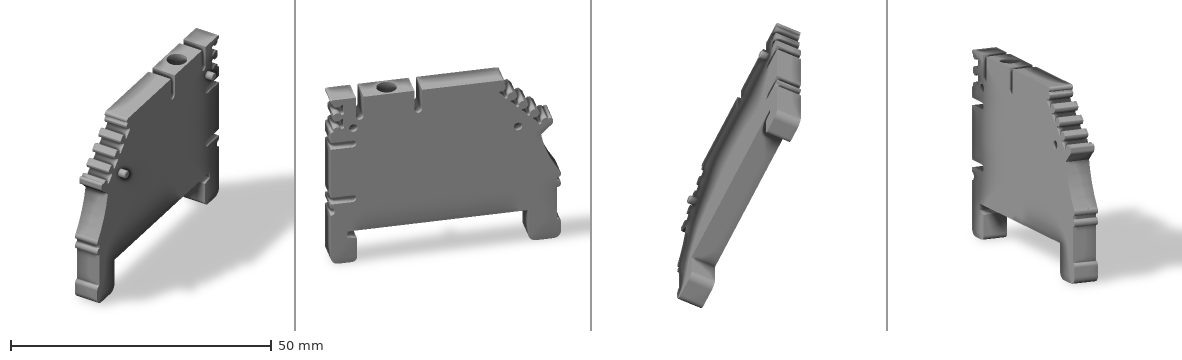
import cadquery as cq
import math

LENGTH = 45.4
HEIGHT = 36.7
TOTAL_WIDTH = 6.6
THICKNESS = 5.0

RAIL_Z = 6.95
FRONT_FOOT_Y = 6.45
FRONT_FOOT_TOP_Z = 4.2
REAR_FOOT_Y = 40.22
HOOK_Y = 42.1
HOOK_Z = 5.65
HOOK_LIP_Z = 5.18
FOOT_ROUND = 1.5
REAR_FOOT_INNER_ROUND = 1.0

BEAD_RADIUS = 0.75
BEADS_Z = (12.08, 14.25)
HOLLOW_BOTTOM = (0.25, 14.85)
HOLLOW_TOP = (3.95, 23.5)
HOLLOW_SAG = 0.5
NOSE_Y = 1.65
NOSE_UNDER = (2.65, 24.85)
NOSE_LOW_Z = 25.6
NOSE_LIP_RADIUS = 0.4
NOSE_LIP_Z = 26.6
NOSE_LOW_ROUND = 0.7

TOOTH_PITCH = 3.15
TOOTH_RADIUS = 0.9
TOOTH_FLAT = 0.73
GAP_LENGTH = 2.15
REAR_GAP_DEPTH = 1.35
FRONT_GAP_DEPTH = 1.23
GAP_ROUND = 0.3
REAR_RACK = (44.15, 32.75)
FRONT_RACK = (7.4, 30.65)
REAR_TEETH = 3
FRONT_TEETH = 5
REAR_RACK_ANGLE = 0.0
FRONT_RACK_ANGLE = 135.0

FRONT_LIP_RADIUS = 0.5
FRONT_LIP_Y = 11.58
REAR_LIP_RADIUS = 0.4
REAR_SHOULDER_Z = 29.55
REAR_SHOULDER_ROUND = 0.45

SLOT_WIDTH = 1.5
SLOT_DEPTH = 5.05
TOP_SLOTS_Y = (39.7, 28.15)
REAR_SLOTS_Z = (26.42, 14.15)
NOTCH_Z = 11.7
NOTCH_RADIUS = 0.8

TOP_HOLE_DIAMETER = 3.95
TOP_HOLE_DEPTH = 5.0
TOP_HOLE_Y = 33.82

PIN_CENTRES = ((40.95, 29.95), (8.5, 25.92))
PIN_DIAMETER = 1.6
PIN_CHAMFER = 0.15
SOCKET_DIAMETER = 1.7
SOCKET_CHAMFER = 0.2
PIN_LENGTH = TOTAL_WIDTH - THICKNESS


def plate_sketch():
    """Workplane on the -X side of the plate: local x is Y, local y is Z."""
    return cq.Workplane("YZ")


def round_corner(solid, y, z, radius):
    """Fillet the X-direction edge that lies at (y, z)."""
    edge = cq.selectors.NearestToPointSelector((THICKNESS / 2, y, z))
    return solid.edges("|X").edges(edge).fillet(radius)


def disc(y, z, radius):
    """Full-thickness round bar along X."""
    return plate_sketch().center(y, z).circle(radius).extrude(THICKNESS)


def rack_end(centre, teeth, angle, side):
    """Centre of the first (side = -1) or last (side = 1) tooth of a rack."""
    reach = side * TOOTH_PITCH * (teeth - 1) / 2
    turn = math.radians(angle)
    return (centre[0] - reach * math.sin(turn), centre[1] + reach * math.cos(turn))


def plate_body():
    """Plate outline; its toothed edges run straight through the tooth centres."""
    front_rack_top = rack_end(FRONT_RACK, FRONT_TEETH, FRONT_RACK_ANGLE, -1)
    front_rack_bottom = rack_end(FRONT_RACK, FRONT_TEETH, FRONT_RACK_ANGLE, 1)
    upper_bead_z = max(BEADS_Z)
    foot_arc_inset = BEAD_RADIUS * (1 - math.sqrt(0.5))
    foot_arc_middle = (foot_arc_inset, FRONT_FOOT_TOP_Z - foot_arc_inset)
    body = (
        plate_sketch()
        .moveTo(0, 0)
        .lineTo(FRONT_FOOT_Y, 0)
        .lineTo(FRONT_FOOT_Y, RAIL_Z)
        .lineTo(HOOK_Y, RAIL_Z)
        .lineTo(HOOK_Y, HOOK_Z)
        .lineTo(REAR_FOOT_Y, HOOK_LIP_Z)
        .lineTo(REAR_FOOT_Y, 0)
        .lineTo(LENGTH, 0)
        .lineTo(LENGTH, REAR_SHOULDER_Z)
        .lineTo(REAR_RACK[0], REAR_SHOULDER_Z)
        .lineTo(REAR_RACK[0], HEIGHT)
        .lineTo(FRONT_LIP_Y, HEIGHT)
        .lineTo(*front_rack_top)
        .lineTo(*front_rack_bottom)
        .lineTo(NOSE_Y + NOSE_LIP_RADIUS, NOSE_LIP_Z)
        .lineTo(NOSE_Y, NOSE_LIP_Z)
        .lineTo(NOSE_Y, NOSE_LOW_Z)
        .lineTo(*NOSE_UNDER)
        .lineTo(*HOLLOW_TOP)
        .sagittaArc(HOLLOW_BOTTOM, HOLLOW_SAG)
        .lineTo(BEAD_RADIUS, upper_bead_z)
        .lineTo(BEAD_RADIUS, FRONT_FOOT_TOP_Z)
        .threePointArc(foot_arc_middle, (0, FRONT_FOOT_TOP_Z - BEAD_RADIUS))
        .close()
        .extrude(THICKNESS)
    )
    rounds = (
        (0, 0, FOOT_ROUND),
        (FRONT_FOOT_Y, 0, FOOT_ROUND),
        (REAR_FOOT_Y, 0, REAR_FOOT_INNER_ROUND),
        (LENGTH, 0, FOOT_ROUND),
        (LENGTH, REAR_SHOULDER_Z, REAR_SHOULDER_ROUND),
        (NOSE_Y, NOSE_LOW_Z, NOSE_LOW_ROUND),
    )
    for y, z, radius in rounds:
        body = round_corner(body, y, z, radius)
    return body


def add_beads_and_lips(body):
    """Round beads low on the front edge, and the lips on the nose and the ends of the top edge."""
    for z in BEADS_Z:
        body = body.union(disc(BEAD_RADIUS, z, BEAD_RADIUS))
    body = body.union(disc(NOSE_Y + NOSE_LIP_RADIUS, NOSE_LIP_Z, NOSE_LIP_RADIUS))
    body = body.union(disc(FRONT_LIP_Y, HEIGHT - FRONT_LIP_RADIUS, FRONT_LIP_RADIUS))
    rear_lip_y = LENGTH - REAR_LIP_RADIUS
    body = body.union(disc(rear_lip_y, HEIGHT - REAR_LIP_RADIUS, REAR_LIP_RADIUS))
    rear_lip_bridge = (
        plate_sketch()
        .moveTo(REAR_RACK[0], HEIGHT)
        .lineTo(rear_lip_y, HEIGHT)
        .lineTo(rear_lip_y, HEIGHT - 2 * REAR_LIP_RADIUS)
        .lineTo(REAR_RACK[0], HEIGHT - 2 * REAR_LIP_RADIUS)
        .close()
        .extrude(THICKNESS)
    )
    return body.union(rear_lip_bridge)


def tooth():
    """Round tooth centred on the X axis, with its flat tip towards +Y."""
    half_flat = math.sqrt(TOOTH_RADIUS**2 - TOOTH_FLAT**2)
    return (
        plate_sketch()
        .moveTo(TOOTH_FLAT, half_flat)
        .threePointArc((-TOOTH_RADIUS, 0), (TOOTH_FLAT, -half_flat))
        .close()
        .extrude(THICKNESS)
    )


def tooth_gap(depth):
    """Round-cornered cutter between two teeth, open towards +Y."""
    cutter_length = depth + 2 * TOOTH_RADIUS
    return (
        plate_sketch()
        .center(cutter_length / 2 - depth, 0)
        .rect(cutter_length, GAP_LENGTH)
        .extrude(THICKNESS)
        .edges("|X and <Y")
        .fillet(GAP_ROUND)
    )


def cut_rack(body, centre, teeth, angle, depth):
    """Cut the gaps and add the teeth of a rack, trimmed level with the top edge."""

    def place(shape, step):
        along = step * TOOTH_PITCH
        shape = shape.translate((0, 0, along))
        return shape.rotate((0, 0, 0), (1, 0, 0), angle).translate((0, *centre))

    first = -(teeth - 1) / 2
    for index in range(teeth - 1):
        body = body.cut(place(tooth_gap(depth), first + index + 0.5))
    for index in range(teeth):
        body = body.union(place(tooth(), first + index))
    above_plate = cq.Workplane("XY", origin=(THICKNESS / 2, LENGTH / 2, HEIGHT))
    return body.cut(above_plate.rect(THICKNESS, LENGTH).extrude(TOOTH_RADIUS))


def cut_slots(body):
    """Round-ended slots in the top and rear edges, and the half-round rear notch."""
    slot_length = 2 * SLOT_DEPTH
    for y in TOP_SLOTS_Y:
        slot = plate_sketch().center(y, HEIGHT).slot2D(slot_length, SLOT_WIDTH, 90)
        body = body.cut(slot.extrude(THICKNESS))
    for z in REAR_SLOTS_Z:
        slot = plate_sketch().center(LENGTH, z).slot2D(slot_length, SLOT_WIDTH)
        body = body.cut(slot.extrude(THICKNESS))
    return body.cut(disc(LENGTH, NOTCH_Z, NOTCH_RADIUS))


def cut_top_hole(body):
    """Plain blind hole down from the top edge, midway through the thickness."""
    hole = (
        cq.Workplane("XY", origin=(THICKNESS / 2, TOP_HOLE_Y, HEIGHT))
        .circle(TOP_HOLE_DIAMETER / 2)
        .extrude(-TOP_HOLE_DEPTH)
    )
    return body.cut(hole)


def add_pins_and_sockets(body):
    """Chamfered pins on the +X side, each with a socket of the same form opposite it."""
    for y, z in PIN_CENTRES:
        pin = (
            cq.Workplane("YZ", origin=(THICKNESS, y, z))
            .circle(PIN_DIAMETER / 2)
            .extrude(PIN_LENGTH)
            .faces(">X")
            .chamfer(PIN_CHAMFER)
        )
        socket = (
            cq.Workplane("YZ", origin=(0, y, z))
            .circle(SOCKET_DIAMETER / 2)
            .extrude(PIN_LENGTH)
            .faces(">X")
            .chamfer(SOCKET_CHAMFER)
        )
        body = body.union(pin).cut(socket)
    return body


result = plate_body()
result = cut_rack(result, REAR_RACK, REAR_TEETH, REAR_RACK_ANGLE, REAR_GAP_DEPTH)
result = cut_rack(result, FRONT_RACK, FRONT_TEETH, FRONT_RACK_ANGLE, FRONT_GAP_DEPTH)
result = add_beads_and_lips(result)
result = cut_slots(result)
result = cut_top_hole(result)
result = add_pins_and_sockets(result)